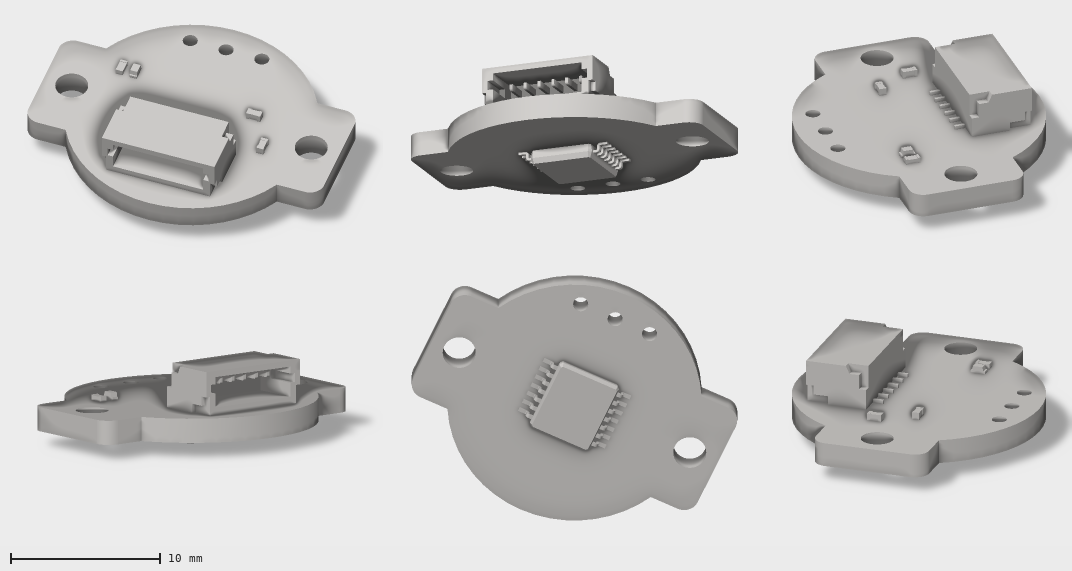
import cadquery as cq


BOARD_THICK = 1.64
DISC_DIA = 17.0
EAR_SPAN = 21.0
EAR_WIDTH = 8.02
EAR_CORNER_RADIUS = 1.0
MOUNT_HOLE_DIA = 2.2
MOUNT_HOLE_SPACING = 17.0
WIRE_HOLE_DIA = 1.0
WIRE_HOLE_PITCH = 2.55
WIRE_HOLE_COUNT = 3
WIRE_HOLE_CENTER_X = 0.08
WIRE_HOLE_Y = 6.6

HOUSING_WIDTH = 8.0
HOUSING_DEPTH = 4.25
HOUSING_FRONT_Y = -6.6
HOUSING_STANDOFF = 0.05
HOUSING_TOP = 3.0
HOUSING_REAR_Y = HOUSING_FRONT_Y + HOUSING_DEPTH
HOUSING_HEIGHT = HOUSING_TOP - HOUSING_STANDOFF

CAVITY_WIDTH = 6.4
CAVITY_FLOOR = 0.48
CAVITY_HEIGHT = 2.05
CAVITY_DEPTH = 3.2
SLOT_WIDTH = 7.18
SLOT_FLOOR = 1.43
SLOT_HEIGHT = 0.63
SLOT_DEPTH = 2.1

REAR_NOTCH_WIDTH = 0.5
REAR_NOTCH_FLOOR = 1.4
REAR_NOTCH_STEP_HEIGHT = 2.42
REAR_NOTCH_STEP_DEPTH = 0.5
REAR_NOTCH_SHELF_DEPTH = 1.18
REAR_NOTCH_TOP_DEPTH = 1.43
FRONT_NOTCH_WIDTH = 0.32
FRONT_NOTCH_LOW_HEIGHT = 0.6
FRONT_NOTCH_HIGH_HEIGHT = 1.24
FRONT_NOTCH_LOW_DEPTH = 1.53
FRONT_NOTCH_HIGH_DEPTH = 0.5

CONTACT_COUNT = 6
CONTACT_ROW_SPAN = 5.0
CONTACT_PITCH = CONTACT_ROW_SPAN / (CONTACT_COUNT - 1)
CONTACT_WIDTH = 0.2
PRONG_FLOOR = 1.68
PRONG_HEIGHT = 0.46
PRONG_LENGTH = 1.68
PRONG_TIP_RADIUS = 0.15
TAIL_LENGTH = 0.71
TAIL_HEIGHT = 0.25

CHIP_LENGTH = 1.0
CHIP_WIDTH = 0.5
CAPACITOR_HEIGHT = 0.5
CAPACITOR_CAP_LENGTH = 0.2
CAPACITOR_SIDE_INSET = 0.032
CAPACITOR_FACE_INSET = 0.02
RESISTOR_HEIGHT = 0.38
RESISTOR_CAP_LENGTH = 0.17
RESISTOR_SIDE_INSET = 0.0
RESISTOR_FACE_INSET = 0.05
LED_BASE_HEIGHT = 0.19
LED_HEIGHT = 0.5
LED_LENS_LENGTH = 0.78
LED_LENS_TOP_LENGTH = 0.67
RESISTOR_PLACE = (-5.88, 2.55)
LED_PLACE = (-4.9, 2.55)
CAPACITOR_PLACES = [(4.0, 1.32, 90), (5.45, -1.2, 0)]

PACKAGE_WIDTH = 4.39
PACKAGE_LENGTH = 5.05
PACKAGE_CORNER = 0.19
PACKAGE_STANDOFF = 0.1
PACKAGE_DROP = 1.03
UPPER_TAPER = 11
LOWER_TAPER = 19
LEADS_PER_SIDE = 7
LEAD_PITCH = 0.65
LEAD_WIDTH = 0.25
LEAD_THICK = 0.17
LEAD_SPAN = 6.4
LEAD_ARM_DROP = 0.48
LEAD_RISER_X = 2.48
LEAD_BEND_RADIUS = 0.06


def box(width, length, height, x, y, z):
    """Box centred on x, with its lowest y and z at the given place."""
    return cq.Workplane("XY").box(width, length, height, centered=(True, False, False)).translate((x, y, z))


def row_offsets(count, pitch):
    """Evenly spaced positions centred on zero."""
    return [(i - (count - 1) / 2) * pitch for i in range(count)]


def make_board():
    disc = cq.Workplane("XY").circle(DISC_DIA / 2).extrude(-BOARD_THICK)
    ears = (
        cq.Workplane("XY")
        .rect(EAR_SPAN, EAR_WIDTH)
        .extrude(-BOARD_THICK)
        .edges("|Z")
        .fillet(EAR_CORNER_RADIUS)
    )
    mount_places = [(x, 0) for x in row_offsets(2, MOUNT_HOLE_SPACING)]
    wire_places = [
        (WIRE_HOLE_CENTER_X + x, WIRE_HOLE_Y) for x in row_offsets(WIRE_HOLE_COUNT, WIRE_HOLE_PITCH)
    ]
    mount_holes = cq.Workplane("XY").pushPoints(mount_places).circle(MOUNT_HOLE_DIA / 2).extrude(-BOARD_THICK)
    wire_holes = cq.Workplane("XY").pushPoints(wire_places).circle(WIRE_HOLE_DIA / 2).extrude(-BOARD_THICK)
    return disc.union(ears).cut(mount_holes).cut(wire_holes)


def side_notches(outline, width):
    """Cutters that take a Y-Z outline out of both side faces of the housing, to the given X depth."""
    points = [(y, HOUSING_STANDOFF + z) for y, z in outline]
    right = (
        cq.Workplane("YZ", origin=(HOUSING_WIDTH / 2 - width, 0, 0)).polyline(points).close().extrude(width)
    )
    return right.union(right.mirror("YZ"))


def make_housing():
    housing = box(HOUSING_WIDTH, HOUSING_DEPTH, HOUSING_HEIGHT, 0, HOUSING_FRONT_Y, HOUSING_STANDOFF)
    cavity = box(
        CAVITY_WIDTH, CAVITY_DEPTH, CAVITY_HEIGHT, 0, HOUSING_FRONT_Y, HOUSING_STANDOFF + CAVITY_FLOOR
    )
    slots = box(SLOT_WIDTH, SLOT_DEPTH, SLOT_HEIGHT, 0, HOUSING_FRONT_Y, HOUSING_STANDOFF + SLOT_FLOOR)
    rear_outline = [
        (HOUSING_REAR_Y, REAR_NOTCH_FLOOR),
        (HOUSING_REAR_Y - REAR_NOTCH_STEP_DEPTH, REAR_NOTCH_FLOOR),
        (HOUSING_REAR_Y - REAR_NOTCH_STEP_DEPTH, REAR_NOTCH_STEP_HEIGHT),
        (HOUSING_REAR_Y - REAR_NOTCH_SHELF_DEPTH, REAR_NOTCH_STEP_HEIGHT),
        (HOUSING_REAR_Y - REAR_NOTCH_TOP_DEPTH, HOUSING_HEIGHT),
        (HOUSING_REAR_Y, HOUSING_HEIGHT),
    ]
    front_outline = [
        (HOUSING_FRONT_Y, 0),
        (HOUSING_FRONT_Y + FRONT_NOTCH_LOW_DEPTH, 0),
        (HOUSING_FRONT_Y + FRONT_NOTCH_LOW_DEPTH, FRONT_NOTCH_LOW_HEIGHT),
        (HOUSING_FRONT_Y + FRONT_NOTCH_HIGH_DEPTH, FRONT_NOTCH_LOW_HEIGHT),
        (HOUSING_FRONT_Y + FRONT_NOTCH_HIGH_DEPTH, FRONT_NOTCH_HIGH_HEIGHT),
        (HOUSING_FRONT_Y, FRONT_NOTCH_HIGH_HEIGHT),
    ]
    return (
        housing.cut(cavity)
        .cut(slots)
        .cut(side_notches(rear_outline, REAR_NOTCH_WIDTH))
        .cut(side_notches(front_outline, FRONT_NOTCH_WIDTH))
    )


def make_contact(x):
    """Prong inside the cavity and tail resting on the board, both rooted in the rear wall."""
    prong = (
        box(
            CONTACT_WIDTH,
            PRONG_LENGTH,
            PRONG_HEIGHT,
            x,
            HOUSING_FRONT_Y + CAVITY_DEPTH - PRONG_LENGTH,
            HOUSING_STANDOFF + PRONG_FLOOR,
        )
        .faces("<Y")
        .edges("<Z")
        .fillet(PRONG_TIP_RADIUS)
    )
    tail = box(CONTACT_WIDTH, TAIL_LENGTH, TAIL_HEIGHT, x, HOUSING_REAR_Y, 0)
    return prong, tail


def make_connector():
    connector = make_housing()
    for x in row_offsets(CONTACT_COUNT, CONTACT_PITCH):
        prong, tail = make_contact(x)
        connector = connector.union(prong).union(tail)
    return connector


def make_capped_chip(height, cap_length, side_inset, face_inset):
    """Chip with two end caps and a slightly slimmer body between them."""
    body = box(
        CHIP_WIDTH - 2 * side_inset,
        CHIP_LENGTH - 2 * cap_length,
        height - 2 * face_inset,
        0,
        cap_length - CHIP_LENGTH / 2,
        face_inset,
    )
    near_cap = box(CHIP_WIDTH, cap_length, height, 0, -CHIP_LENGTH / 2, 0)
    return body.union(near_cap).union(near_cap.mirror("XZ"))


def make_resistor():
    chip = make_capped_chip(
        RESISTOR_HEIGHT, RESISTOR_CAP_LENGTH, RESISTOR_SIDE_INSET, RESISTOR_FACE_INSET
    )
    return chip.translate(RESISTOR_PLACE)


def make_capacitor(x, y, turn):
    chip = make_capped_chip(
        CAPACITOR_HEIGHT, CAPACITOR_CAP_LENGTH, CAPACITOR_SIDE_INSET, CAPACITOR_FACE_INSET
    )
    return chip.rotate((0, 0, 0), (0, 0, 1), turn).translate((x, y, 0))


def make_led():
    """Flat base with a lens block whose ends lean inward."""
    base = box(CHIP_WIDTH, CHIP_LENGTH, LED_BASE_HEIGHT, 0, -CHIP_LENGTH / 2, 0)
    lens = (
        cq.Workplane("YZ", origin=(-CHIP_WIDTH / 2, 0, 0))
        .polyline([
            (-LED_LENS_LENGTH / 2, LED_BASE_HEIGHT),
            (LED_LENS_LENGTH / 2, LED_BASE_HEIGHT),
            (LED_LENS_TOP_LENGTH / 2, LED_HEIGHT),
            (-LED_LENS_TOP_LENGTH / 2, LED_HEIGHT),
        ])
        .close()
        .extrude(CHIP_WIDTH)
    )
    return base.union(lens).translate(LED_PLACE)


def package_outline(z):
    """Package rectangle with cut corners, at height z."""
    half_width = PACKAGE_WIDTH / 2
    half_length = PACKAGE_LENGTH / 2
    return (
        cq.Workplane("XY", origin=(0, 0, z))
        .moveTo(half_width, half_length - PACKAGE_CORNER)
        .lineTo(half_width - PACKAGE_CORNER, half_length)
        .lineTo(PACKAGE_CORNER - half_width, half_length)
        .lineTo(-half_width, half_length - PACKAGE_CORNER)
        .lineTo(-half_width, PACKAGE_CORNER - half_length)
        .lineTo(PACKAGE_CORNER - half_width, -half_length)
        .lineTo(half_width - PACKAGE_CORNER, -half_length)
        .lineTo(half_width, PACKAGE_CORNER - half_length)
        .close()
    )


def make_lead(y):
    """Gull-wing lead on the +X side: arm out of the package, riser, and foot against the board."""
    underside = -BOARD_THICK
    inner = LEAD_BEND_RADIUS
    outer = LEAD_BEND_RADIUS + LEAD_THICK
    root_x = PACKAGE_WIDTH / 2
    tip_x = LEAD_SPAN / 2
    riser_outer_x = LEAD_RISER_X + LEAD_THICK
    arm_top = underside - LEAD_ARM_DROP
    arm_bottom = arm_top - LEAD_THICK
    foot_bottom = underside - LEAD_THICK
    return (
        cq.Workplane("XZ", origin=(0, y + LEAD_WIDTH / 2, 0))
        .moveTo(root_x, arm_top)
        .lineTo(LEAD_RISER_X - inner, arm_top)
        .tangentArcPoint((LEAD_RISER_X, arm_top + inner), relative=False)
        .lineTo(LEAD_RISER_X, underside - outer)
        .tangentArcPoint((LEAD_RISER_X + outer, underside), relative=False)
        .lineTo(tip_x, underside)
        .lineTo(tip_x, foot_bottom)
        .lineTo(riser_outer_x + inner, foot_bottom)
        .tangentArcPoint((riser_outer_x, foot_bottom - inner), relative=False)
        .lineTo(riser_outer_x, arm_bottom + outer)
        .tangentArcPoint((riser_outer_x - outer, arm_bottom), relative=False)
        .lineTo(root_x, arm_bottom)
        .close()
        .extrude(LEAD_WIDTH)
    )


def make_package():
    """Molded body, tapered above and below a straight band, with leads out of both sides of the band."""
    band_top = -BOARD_THICK - LEAD_ARM_DROP
    band_bottom = band_top - LEAD_THICK
    upper_height = LEAD_ARM_DROP - PACKAGE_STANDOFF
    lower_height = PACKAGE_DROP - LEAD_ARM_DROP - LEAD_THICK
    band = package_outline(band_bottom).extrude(LEAD_THICK)
    upper = package_outline(band_top).extrude(upper_height, taper=UPPER_TAPER)
    lower = package_outline(band_bottom).extrude(-lower_height, taper=LOWER_TAPER)
    package = band.union(upper).union(lower)
    for y in row_offsets(LEADS_PER_SIDE, LEAD_PITCH):
        lead = make_lead(y)
        package = package.union(lead).union(lead.mirror("YZ"))
    return package


board = make_board()
connector = make_connector()
resistor = make_resistor()
led = make_led()
capacitors = [make_capacitor(x, y, turn) for x, y, turn in CAPACITOR_PLACES]
package = make_package()

result = cq.Compound.makeCompound([
    board.val(),
    connector.val(),
    resistor.val(),
    led.val(),
    *[capacitor.val() for capacitor in capacitors],
    package.val(),
])